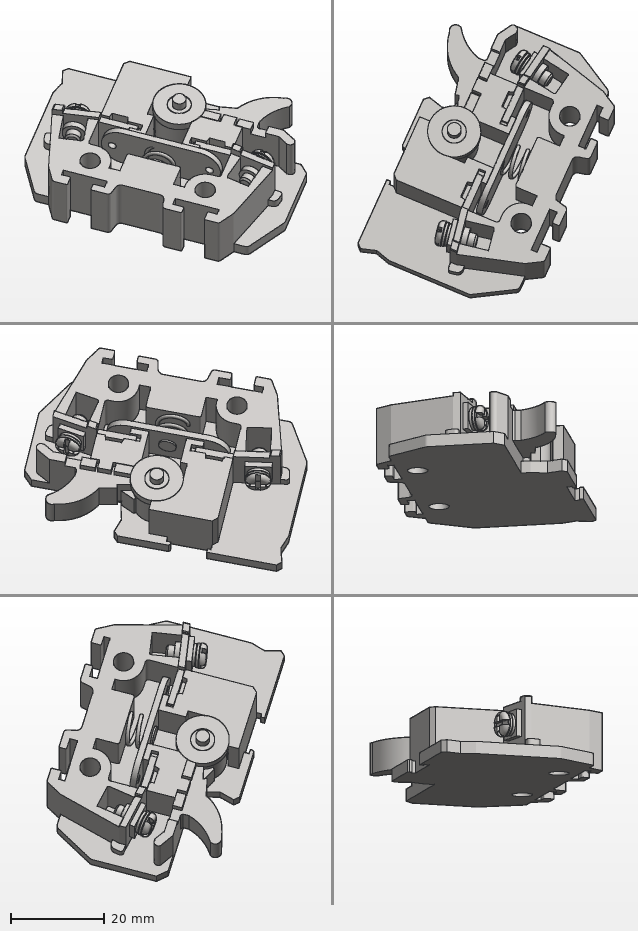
import cadquery as cq
import math

HALF_WIDTH = 29.5
PLATE_TOP = 2.65
BODY_TOP = 12.6
METAL_TOP = 13.35
OVERALL_TOP = 14.3
BODY_BOTTOM_Y = 3.65
PLATE_BACK_Y = 39.55
DECK_Y = 29.6
MID_Z = 8.5

CAVITY_HALF = 15.0
CORNER_RADIUS = 0.5
CAVITY_BOTTOM_Y = 12.5
SPRING_SEAT_HALF = 6.1
BRIDGE_BOTTOM_Y = 17.0
BRIDGE_TOP_Y = 18.35
CONTACT_BOTTOM_Y = 19.65
CONTACT_TOP_Y = 21.2

HOLE_X = 13.05
HOLE_Y = 8.0
HOLE_RADIUS = 2.2
HOLE_BOSS_RADIUS = CAVITY_BOTTOM_Y - HOLE_Y

PIVOT_Y = 29.45
HUB_RADIUS = 5.7
HUB_TOP = 12.5
PIN_RADIUS = 1.5
COLLAR_RADIUS = 2.6
SLOT_HALF = 4.15

LEAF_BOTTOM_Y = 27.55
LEAF_TOP = 12.45
GAP_START_X = 9.4
TAB_START_X = 10.05
TAB_END_X = 13
GAP_END_X = 13.5

CONTACT_TILT = 9.7
CONTACT_TIP_X = 25.0
CONTACT_INNER_X = 5.55
RIVET_X = 11.05
SCREW_X = 20.4


def prism(points, bottom, top):
    """Vertical prism over a closed polygon."""
    return cq.Workplane("XY").workplane(offset=bottom).polyline(points).close().extrude(top - bottom)


def box(x0, x1, y0, y1, z0, z1):
    """Axis-aligned block between two corners."""
    return cq.Workplane("XY").box(x1 - x0, y1 - y0, z1 - z0, centered=False).translate((x0, y0, z0))


def disc(x, y, radius, bottom, top):
    """Vertical cylinder."""
    return cq.Workplane("XY").workplane(offset=bottom).center(x, y).circle(radius).extrude(top - bottom)


def both_sides(left):
    """A left-hand feature together with its mirror image."""
    return left.union(left.mirror("YZ"))


def vertical_edge(x, y, bottom, top):
    """Selector for the vertical edge at one corner."""
    return cq.selectors.NearestToPointSelector((x, y, (bottom + top) / 2))


def make_plate():
    notch_y = 38.65
    rear_y = 37.5
    outline = [
        (-24.15, BODY_BOTTOM_Y), (-HALF_WIDTH, 12.85), (-HALF_WIDTH, 31.9), (-28.5, 35.15),
        (-HALF_WIDTH, 38.5), (-28.5, PLATE_BACK_Y), (-13.1, PLATE_BACK_Y), (-13.1, notch_y),
        (-13.85, notch_y), (-13.85, rear_y), (-4.1, rear_y), (-4.1, notch_y),
        (-5.1, notch_y), (-5.1, 39.2), (-4.8, PLATE_BACK_Y), (6.5, PLATE_BACK_Y),
        (7.45, 38.5), (6.5, 35.15), (7.45, 31.7), (7.45, DECK_Y),
        (27.55, DECK_Y), (HALF_WIDTH, 27.55), (HALF_WIDTH, 12.85), (24.15, BODY_BOTTOM_Y),
    ]
    plate = prism(outline, 0, PLATE_TOP)
    corner_radius = 1.2
    for x, y in [(24.15, BODY_BOTTOM_Y), (HALF_WIDTH, 12.85)]:
        for side in (-x, x):
            plate = plate.edges(vertical_edge(side, y, 0, PLATE_TOP)).fillet(corner_radius)
    return plate


def arm_y(x, inner_y):
    """Y on the sloping arm of a contact at |X| = x, for a surface at inner_y on the cavity wall."""
    return inner_y - (x - CAVITY_HALF) * math.tan(math.radians(CONTACT_TILT))


def make_outer_foot():
    neck_x, hook_x, hook_y = -17.65, -15.5, 2.3
    heel_x = -18.9
    foot = prism(
        [(-21.0, BODY_BOTTOM_Y), (heel_x, 0), (hook_x, 0), (hook_x, hook_y),
         (neck_x, hook_y), (neck_x, BODY_BOTTOM_Y)],
        0, BODY_TOP,
    )
    foot = foot.edges(vertical_edge(heel_x, 0, 0, BODY_TOP)).fillet(0.7)
    return foot.edges("|Z and >X").fillet(0.3)


def make_inner_foot():
    hook_x, neck_x, heel_y, hook_y = -10.3, -7.7, 0.25, 1.95
    foot = (
        cq.Workplane("XY").moveTo(neck_x, BODY_BOTTOM_Y).lineTo(neck_x, hook_y).lineTo(hook_x, hook_y)
        .lineTo(hook_x, heel_y).lineTo(-6.65, heel_y)
        .threePointArc((-6.15, 0.4), (-5.85, 0.8)).lineTo(-5.4, 2.7)
        .threePointArc((-5.0, 3.35), (-4.25, BODY_BOTTOM_Y)).close()
        .extrude(BODY_TOP)
    )
    return foot.edges("|Z and <X").fillet(0.35)


def make_cavity():
    leg_outer, leg_bottom_y = HOLE_X - HOLE_BOSS_RADIUS, 7.4
    corner = 0.7
    cavity = box(-CAVITY_HALF, CAVITY_HALF, CAVITY_BOTTOM_Y, CONTACT_TOP_Y, PLATE_TOP, BODY_TOP)
    cavity = cavity.edges("|Z and <Y").fillet(corner)
    leg = box(-HOLE_X, -SPRING_SEAT_HALF, leg_bottom_y, CAVITY_BOTTOM_Y + corner, PLATE_TOP, BODY_TOP)
    boss = disc(-HOLE_X, HOLE_Y, HOLE_BOSS_RADIUS, PLATE_TOP, BODY_TOP)
    lower_fill = box(-HOLE_X, -leg_outer, leg_bottom_y, HOLE_Y, PLATE_TOP, BODY_TOP)
    return cavity.union(both_sides(leg.cut(boss).cut(lower_fill)))


def make_front_housing():
    half = [
        (0, BODY_BOTTOM_Y), (-21.0, BODY_BOTTOM_Y),
        (-CONTACT_TIP_X, arm_y(CONTACT_TIP_X, CONTACT_BOTTOM_Y)),
        (-CAVITY_HALF, CONTACT_BOTTOM_Y), (0, CONTACT_BOTTOM_Y),
    ]
    housing = both_sides(prism(half, 0, BODY_TOP)).cut(make_cavity())
    for x in (-SPRING_SEAT_HALF, SPRING_SEAT_HALF):
        housing = housing.edges(vertical_edge(x, CAVITY_BOTTOM_Y, PLATE_TOP, BODY_TOP)).fillet(CORNER_RADIUS)
    housing = housing.union(both_sides(make_outer_foot().union(make_inner_foot())))

    pocket_width, pocket_depth = 5.3, 6.4
    overlap = 0.3
    pocket = box(-pocket_width / 2, pocket_width / 2, -pocket_depth, overlap, PLATE_TOP, BODY_TOP)
    pocket = pocket.edges("|Z and >X and <Y").fillet(CORNER_RADIUS)
    pocket = pocket.rotate((0, 0, 0), (0, 0, 1), CONTACT_TILT)
    pocket = pocket.translate((-SCREW_X + 0.5, arm_y(SCREW_X, CONTACT_BOTTOM_Y), 0))
    return housing.cut(both_sides(pocket))


def make_lug():
    lug_top = 4.55
    lug = (
        cq.Workplane("XY").moveTo(-24.2, 19.45).lineTo(-26.2, 19.3)
        .threePointArc((-26.65, 19.05), (-26.85, 18.6)).lineTo(-26.6, 17.3)
        .threePointArc((-26.25, 16.65), (-25.5, 16.3)).lineTo(-24.2, 16.3).close()
    )
    return lug.extrude(lug_top)


def make_rear_housing():
    rear_y = 37.5
    step_x = 8.0
    chamfer = 1.05
    shoulder_y = 24.55
    left = prism(
        [(-CAVITY_HALF, CONTACT_TOP_Y), (-CAVITY_HALF, rear_y - chamfer),
         (-CAVITY_HALF + chamfer, rear_y), (0, rear_y), (0, PIVOT_Y),
         (-5.6, PIVOT_Y), (-5.6, shoulder_y), (-SLOT_HALF, shoulder_y),
         (-SLOT_HALF, BRIDGE_TOP_Y), (-step_x, BRIDGE_TOP_Y), (-step_x, CONTACT_TOP_Y)],
        PLATE_TOP, BODY_TOP,
    )
    right = prism(
        [(CAVITY_HALF, CONTACT_TOP_Y), (CAVITY_HALF, LEAF_BOTTOM_Y), (5.2, LEAF_BOTTOM_Y),
         (SLOT_HALF, 25.95), (SLOT_HALF, BRIDGE_TOP_Y), (step_x, BRIDGE_TOP_Y), (step_x, CONTACT_TOP_Y)],
        PLATE_TOP, BODY_TOP,
    )
    tab = box(TAB_START_X, TAB_END_X, LEAF_BOTTOM_Y, DECK_Y, PLATE_TOP, BODY_TOP)

    recess_depth = 2.35
    recess_half, back_half = 2.05, 1.75
    recess_back_y = CONTACT_TOP_Y + 1.1
    recess = prism(
        [(-RIVET_X - recess_half, CONTACT_TOP_Y), (-RIVET_X - back_half, recess_back_y),
         (-RIVET_X + back_half, recess_back_y), (-RIVET_X + recess_half, CONTACT_TOP_Y)],
        BODY_TOP - recess_depth, BODY_TOP,
    )
    slot = box(-step_x, -CONTACT_INNER_X, CONTACT_BOTTOM_Y, CONTACT_TOP_Y, PLATE_TOP, BODY_TOP)
    hub_pocket = disc(0, PIVOT_Y, HUB_RADIUS, PLATE_TOP, BODY_TOP)
    housing = left.union(right).union(tab)
    return housing.cut(both_sides(recess.union(slot))).cut(hub_pocket)


def make_leaf():
    low_top = 11.0
    middle_end_x, tongue_x = 16.8, 20.2
    inner = box(SLOT_HALF, GAP_START_X, LEAF_BOTTOM_Y, DECK_Y, PLATE_TOP, LEAF_TOP)
    middle = box(GAP_END_X, middle_end_x, LEAF_BOTTOM_Y, DECK_Y, PLATE_TOP, LEAF_TOP)
    low = box(GAP_START_X, tongue_x, LEAF_BOTTOM_Y, DECK_Y, PLATE_TOP, low_top)
    tongue = (
        cq.Workplane("XY").workplane(offset=PLATE_TOP)
        .moveTo(tongue_x, LEAF_BOTTOM_Y).lineTo(tongue_x, DECK_Y).lineTo(23.6, DECK_Y)
        .lineTo(26.6, 27.8).threePointArc((26.9, 26.65), (26.2, 26.1))
        .lineTo(25.5, 26.1).lineTo(23.2, LEAF_BOTTOM_Y).close()
        .extrude(LEAF_TOP - PLATE_TOP)
    )
    return inner.union(middle).union(low).union(tongue)


def make_lever():
    lever_bottom, lever_top = 4.15, 11.0
    rim_thickness = 1.75
    cam_radius = 5.2
    recess_depth = 0.25
    arm = (
        cq.Workplane("XY").workplane(offset=lever_bottom)
        .moveTo(0, DECK_Y).lineTo(5.25, 31.15).lineTo(8.2, 31.85).lineTo(7.95, 32.75).lineTo(11.8, 33.6)
        .threePointArc((14.8, 37.15), (20.35, 39.5))
        .threePointArc((22.3, 39.05), (22.25, 37.5))
        .threePointArc((19.25, 34.75), (17.5, 31.4))
        .lineTo(17.5, 30.05).lineTo(17.95, DECK_Y).close()
        .extrude(lever_top - lever_bottom)
    )
    wedge = prism([(0, DECK_Y), (4.25, 33.3), (7.4, 31.75), (5.25, 31.15)], PLATE_TOP, MID_Z)
    cam = disc(0, PIVOT_Y, cam_radius, PLATE_TOP, HUB_TOP)
    rim = disc(0, PIVOT_Y, HUB_RADIUS, HUB_TOP - rim_thickness, HUB_TOP)
    collar = disc(0, PIVOT_Y, COLLAR_RADIUS, HUB_TOP - recess_depth, HUB_TOP)
    pin = disc(0, PIVOT_Y, PIN_RADIUS, PLATE_TOP, OVERALL_TOP)
    return arm.union(wedge).union(cam).union(rim).cut(collar).union(pin)


def make_contact(lug_start, lug_end):
    """Left contact: straight inner leg, sloping outer arm and a lug between two X positions."""
    tip_length = 0.95
    leg_top, tip_top = 11.9, 11.2
    leg = box(-CAVITY_HALF, -CONTACT_INNER_X - tip_length, CONTACT_BOTTOM_Y, CONTACT_TOP_Y,
              PLATE_TOP, leg_top)
    tip = box(-CONTACT_INNER_X - tip_length, -CONTACT_INNER_X, CONTACT_BOTTOM_Y, CONTACT_TOP_Y,
              PLATE_TOP, tip_top)

    def arm_stretch(x0, x1, top):
        return prism(
            [(-x0, arm_y(x0, CONTACT_BOTTOM_Y)), (-x0, arm_y(x0, CONTACT_TOP_Y)),
             (-x1, arm_y(x1, CONTACT_TOP_Y)), (-x1, arm_y(x1, CONTACT_BOTTOM_Y))],
            PLATE_TOP, top,
        )

    arm = arm_stretch(CAVITY_HALF, CONTACT_TIP_X, METAL_TOP)
    lug = arm_stretch(lug_start, lug_end, OVERALL_TOP).edges(">Z and (<X or >X)").chamfer(0.25)
    return leg.union(tip).union(arm).union(lug)


def make_screw():
    """Left terminal screw, modelled along +Y from the outer face of the contact, then tilted."""
    thickness = CONTACT_TOP_Y - CONTACT_BOTTOM_Y
    clamp_half, clamp_height = 2.95, 1.2
    head_radius, head_top = 2.8, 4.1
    slot_width, slot_bottom = 1.05, 3.05
    shaft_radius, shaft_end = 1.65, -4.7
    collar_radius, collar_end = 2.55, -thickness - 1.3
    profile = (
        cq.Workplane("XY").moveTo(0, shaft_end).lineTo(shaft_radius - 0.4, shaft_end)
        .lineTo(shaft_radius, shaft_end + 0.4).lineTo(shaft_radius, collar_end)
        .lineTo(collar_radius, collar_end).lineTo(collar_radius, 0)
        .lineTo(shaft_radius, 0).lineTo(shaft_radius, clamp_height)
        .lineTo(2.5, clamp_height).lineTo(2.5, 1.75).lineTo(2.25, 1.75).lineTo(2.25, 1.95)
        .lineTo(2.65, 1.95).lineTo(2.65, 2.5).lineTo(2.5, 2.5).lineTo(2.5, 2.65)
        .lineTo(head_radius, 2.65).lineTo(head_radius, 2.95)
        .threePointArc((2.5, 3.8), (1.65, head_top)).lineTo(0, head_top).close()
    )
    screw = profile.revolve(360, (0, 0, 0), (0, 1, 0))
    slot = box(-slot_width / 2, slot_width / 2, slot_bottom, head_top, -head_radius, head_radius)
    cross = slot.rotate((0, 0, 0), (0, 1, 0), 90)
    clamp = box(-clamp_half, clamp_half, 0, clamp_height, -clamp_half, clamp_half)
    screw = screw.cut(slot).cut(cross).union(clamp)
    screw = screw.rotate((0, 0, 0), (0, 0, 1), CONTACT_TILT)
    return screw.translate((-SCREW_X, arm_y(SCREW_X, CONTACT_TOP_Y), MID_Z))


def make_bridge():
    half_length = 13.5
    thickness = BRIDGE_TOP_Y - BRIDGE_BOTTOM_Y
    end_radius = METAL_TOP - MID_Z
    eye_radius = 0.9
    seat_radius, seat_height = 1.95, 0.4
    side = cq.Workplane("XZ", origin=(0, BRIDGE_TOP_Y, MID_Z))
    bridge = side.slot2D(2 * half_length, 2 * end_radius).extrude(thickness)
    eyes = side.pushPoints([(-RIVET_X, 0), (RIVET_X, 0)]).circle(eye_radius).extrude(thickness)
    seat = side.circle(seat_radius).extrude(-seat_height)
    return bridge.cut(eyes).union(seat)


def make_spring():
    coil_radius, wire_radius, turns = 3.3, 0.4, 2
    height = BRIDGE_BOTTOM_Y - CAVITY_BOTTOM_Y
    seated_end = 0.6
    helix = cq.Wire.makeHelix(height / turns, height + seated_end, coil_radius)
    wire = cq.Workplane("XZ", origin=(coil_radius, 0, 0)).circle(wire_radius)
    spring = wire.sweep(cq.Workplane(helix), isFrenet=True)
    spring = spring.rotate((0, 0, 0), (0, 0, 1), 180).rotate((0, 0, 0), (1, 0, 0), -90)
    return spring.translate((0, CAVITY_BOTTOM_Y, MID_Z))


result = make_plate()
result = result.union(make_front_housing())
result = result.union(both_sides(make_lug()))
result = result.union(make_rear_housing())
result = result.union(make_leaf())
result = result.union(make_lever())

LUG_LENGTH = 2.3
left_contact = make_contact(CONTACT_TIP_X - LUG_LENGTH, CONTACT_TIP_X)
right_contact = make_contact(CAVITY_HALF, CAVITY_HALF + LUG_LENGTH).mirror("YZ")
result = result.union(left_contact).union(right_contact)

result = result.union(both_sides(make_screw()))
result = result.union(make_bridge())
result = result.union(make_spring())

for hole_x in (-HOLE_X, HOLE_X):
    result = result.cut(disc(hole_x, HOLE_Y, HOLE_RADIUS, 0, BODY_TOP))